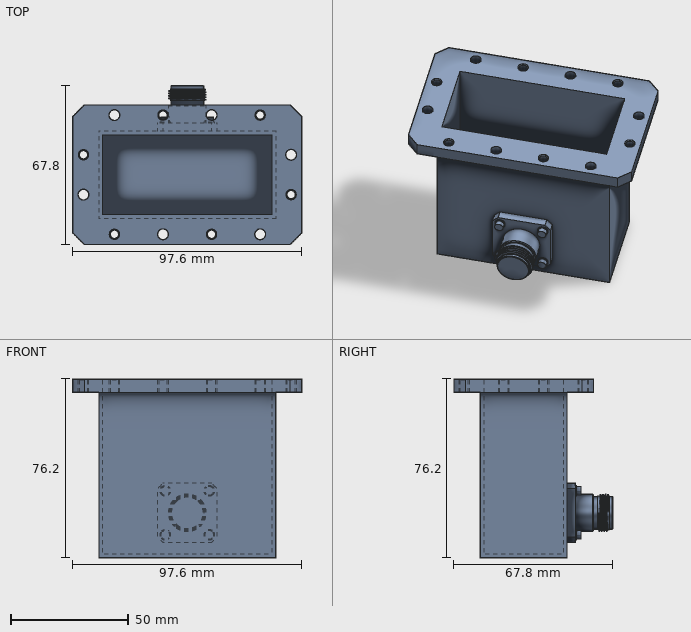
import cadquery as cq

total_height = 76.2
flange_length = 97.6
flange_width = 59.6
flange_thickness = 5.6
flange_corner = 5.0

tube_length = 75.4
tube_width = 37.1
side_wall = 1.7
back_wall = 1.6
floor = 1.7

long_row_y = 25.4
long_row_pitch = 20.7
short_row_x = 44.2
short_row_pitch = 17.0
plain_diameter = 4.5
tapped_diameter = 3.5
tapped_mouth_diameter = 4.4

connector_z = 19.2
plate_side = 25.4
plate_thickness = 3.5
plate_corner = 2.4
screw_offset = 9.4
screw_head_radius = 1.9
screw_head_height = 2.05
washer_radius = 2.2
washer_thickness = 0.4
barrel_radius = 8.0
barrel_end_y = 29.7
barrel_chamfer = 0.4
nose_radius = 7.0
nose_end_y = 38.0
nose_chamfer = 0.3

thread_start_y = 31.5
thread_end_y = 36.6
thread_pitch = 1.05
thread_root_radius = 7.2
thread_crest_radius = 7.9
thread_crest_width = 0.2
thread_foot_width = 0.9
thread_overlap = 0.2

wall_face_y = tube_width / 2
plate_face_y = wall_face_y + plate_thickness


def make_body():
    flange = (
        cq.Workplane("XY", origin=(0, 0, total_height - flange_thickness))
        .rect(flange_length, flange_width)
        .extrude(flange_thickness)
        .edges("|Z")
        .chamfer(flange_corner)
    )
    tube = cq.Workplane("XY").rect(tube_length, tube_width).extrude(total_height)
    cavity = (
        cq.Workplane("XY", origin=(0, 0, floor))
        .rect(tube_length - 2 * side_wall, tube_width - 2 * back_wall)
        .extrude(total_height)
    )
    return flange.union(tube).cut(cavity)


def rim_positions():
    """Hole centres in order, clockwise around the flange from the -X, +Y corner."""
    row = [step * long_row_pitch for step in (-1.5, -0.5, 0.5, 1.5)]
    half_rim = [(x, long_row_y) for x in row]
    half_rim += [(short_row_x, short_row_pitch / 2), (short_row_x, -short_row_pitch / 2)]
    return half_rim + [(-x, -y) for x, y in half_rim]


def drill_flange(body):
    positions = rim_positions()
    top = cq.Workplane("XY", origin=(0, 0, total_height))
    plain = top.pushPoints(positions[0::2]).circle(plain_diameter / 2).extrude(-flange_thickness)
    tapped = top.pushPoints(positions[1::2]).circle(tapped_diameter / 2).extrude(-flange_thickness)
    body = body.cut(plain).cut(tapped)
    mouth_depth = (tapped_mouth_diameter - tapped_diameter) / 2
    for x, y in positions[1::2]:
        mouth = cq.Solid.makeCone(
            tapped_mouth_diameter / 2,
            tapped_diameter / 2,
            mouth_depth,
            pnt=cq.Vector(x, y, total_height),
            dir=cq.Vector(0, 0, -1),
        )
        body = body.cut(cq.Workplane(mouth))
    return body


def rod(radius, start_y, end_y, x=0.0, z=0.0):
    """Round bar along +Y, placed relative to the connector axis."""
    solid = cq.Solid.makeCylinder(
        radius, end_y - start_y, cq.Vector(x, start_y, connector_z + z), cq.Vector(0, 1, 0)
    )
    return cq.Workplane(solid)


def make_thread():
    """Helical ridge around the nose, built along +Z and then laid along +Y."""
    length = thread_end_y - thread_start_y - thread_foot_width
    inner_radius = thread_root_radius - thread_overlap
    helix = cq.Wire.makeHelix(thread_pitch, length, thread_root_radius)
    ridge = (
        cq.Workplane("XZ")
        .moveTo(inner_radius, -thread_foot_width / 2)
        .lineTo(thread_crest_radius, -thread_crest_width / 2)
        .lineTo(thread_crest_radius, thread_crest_width / 2)
        .lineTo(inner_radius, thread_foot_width / 2)
        .close()
        .sweep(cq.Workplane(helix), isFrenet=True)
    )
    return ridge.rotate((0, 0, 0), (1, 0, 0), -90).translate(
        (0, thread_start_y + thread_foot_width / 2, connector_z)
    )


def make_connector():
    plate = (
        cq.Workplane("XZ", origin=(0, wall_face_y, connector_z))
        .rect(plate_side, plate_side)
        .extrude(-plate_thickness)
        .edges("|Y")
        .chamfer(plate_corner)
    )
    barrel = rod(barrel_radius, plate_face_y, barrel_end_y).faces(">Y").chamfer(barrel_chamfer)
    nose = rod(nose_radius, barrel_end_y, nose_end_y).faces(">Y").chamfer(nose_chamfer)
    thread_core = rod(thread_root_radius, thread_start_y, thread_end_y)
    connector = plate.union(barrel).union(nose).union(thread_core).union(make_thread())
    for x in (-screw_offset, screw_offset):
        for z in (-screw_offset, screw_offset):
            washer = rod(washer_radius, plate_face_y, plate_face_y + washer_thickness, x, z)
            head_end_y = plate_face_y + washer_thickness + screw_head_height
            head = rod(screw_head_radius, plate_face_y, head_end_y, x, z)
            connector = connector.union(washer).union(head)
    return connector


result = drill_flange(make_body()).union(make_connector())